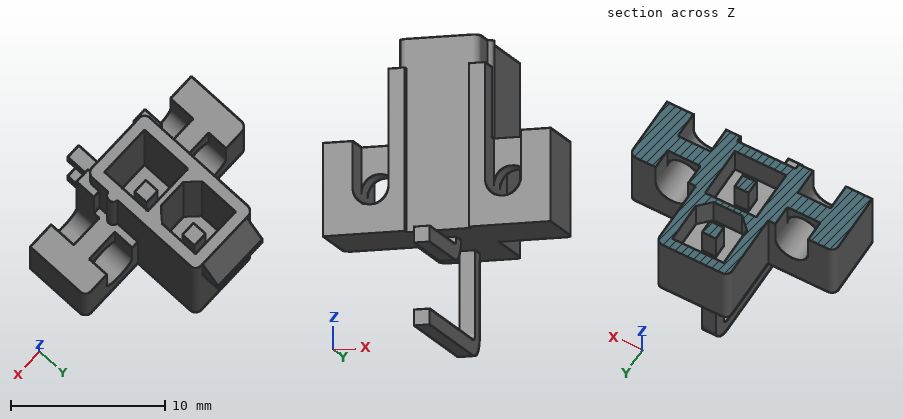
import cadquery as cq

housing_width = 5.46
housing_depth = 9.6
housing_height = 12.83
corner_radius = 0.5

pitch = 4.2
cavity_size = 3.8
cavity_floor = 2.8
key_chamfer = 0.84
front_pin_y = (housing_depth - pitch) / 2
rear_pin_y = front_pin_y + pitch
pin_size = 1.05
pin_tip = 6.78
pin_tail_y = -3.73
front_pin_drop = 1.6
rear_pin_drop = 7.1
front_bend_radius = 0.35
rear_bend_radius = 0.48

wing_span = 15.4
wing_front = -0.42
wing_back = 4.48
wing_height = 6.2
wing_inner_x = 2.17
hole_diameter = 2.43
hole_x = 4.48
hole_z = 3.13
web_front = 1.57
web_back = 2.95
pillar_outer_x = hole_x - hole_diameter / 2
pillar_back = 1.1
pillar_height = 10.85

latch_width = 4.23
latch_reach = 1.38
latch_height = 3.05
latch_lip = 0.82
rib_y = 2.27
rib_radius = 0.42
rib_reach = 0.35


def block(x_range, y_range, z_range):
    """Axis-aligned block between the given limits."""
    (x0, x1), (y0, y1), (z0, z1) = x_range, y_range, z_range
    return cq.Workplane("XY").box(x1 - x0, y1 - y0, z1 - z0, centered=False).translate((x0, y0, z0))


def make_housing():
    half_width = housing_width / 2
    shell = block((-half_width, half_width), (0, housing_depth), (0, housing_height))
    return shell.edges("|Z").fillet(corner_radius)


def make_cavity(y, keyed):
    half = cavity_size / 2
    cavity = block((-half, half), (y - half, y + half), (cavity_floor, housing_height))
    if keyed:
        cavity = cavity.faces("<Y").edges("|Z").chamfer(key_chamfer)
    return cavity


def make_wing():
    """Wing on the +X side, with its pillar, slots and screw hole."""
    wing = block((wing_inner_x, wing_span / 2), (wing_front, wing_back), (0, wing_height))
    wing = wing.edges("|Z and >X and >Y").fillet(corner_radius)
    wing = wing.union(
        block((wing_inner_x, pillar_outer_x), (wing_front, pillar_back), (0, pillar_height))
    )
    hole_radius = hole_diameter / 2
    for y_range in ((wing_front, web_front), (web_back, wing_back)):
        slot = block((hole_x - hole_radius, hole_x + hole_radius), y_range, (hole_z, wing_height))
        wing = wing.cut(slot)
    hole = (
        cq.Workplane("XZ", origin=(0, wing_back, 0))
        .center(hole_x, hole_z)
        .circle(hole_radius)
        .extrude(wing_back - wing_front)
    )
    return wing.cut(hole)


def make_latch():
    rear = housing_depth
    tip = rear + latch_reach
    underside = housing_height - latch_height
    return (
        cq.Workplane("YZ")
        .moveTo(rear - corner_radius, underside)
        .lineTo(tip, underside)
        .lineTo(tip, underside + latch_lip)
        .lineTo(rear, housing_height)
        .lineTo(rear - corner_radius, housing_height)
        .close()
        .extrude(latch_width / 2, both=True)
    )


def make_rib():
    """Rounded rib running the full height of the +X side."""
    centre_x = housing_width / 2 + rib_reach - rib_radius
    return cq.Workplane("XY").center(centre_x, rib_y).circle(rib_radius).extrude(housing_height)


def make_pin(y, drop, inner_radius):
    """Square pin running down through the housing and bent towards -Y."""
    half = pin_size / 2
    upright = block((-half, half), (y - half, y + half), (-drop, pin_tip))
    tail = block((-half, half), (pin_tail_y, y + half), (-drop, pin_size - drop))
    pin = upright.union(tail)
    inner_corner = cq.selectors.NearestToPointSelector((0, y - half, pin_size - drop))
    outer_corner = cq.selectors.NearestToPointSelector((0, y + half, -drop))
    pin = pin.edges("|X").edges(inner_corner).fillet(inner_radius)
    return pin.edges("|X").edges(outer_corner).fillet(inner_radius + pin_size)


wing = make_wing()
result = make_housing().union(wing).union(wing.mirror("YZ"))
result = result.union(make_latch()).union(make_rib())
result = result.cut(make_cavity(front_pin_y, keyed=False))
result = result.cut(make_cavity(rear_pin_y, keyed=True))
result = result.union(make_pin(front_pin_y, front_pin_drop, front_bend_radius))
result = result.union(make_pin(rear_pin_y, rear_pin_drop, rear_bend_radius))